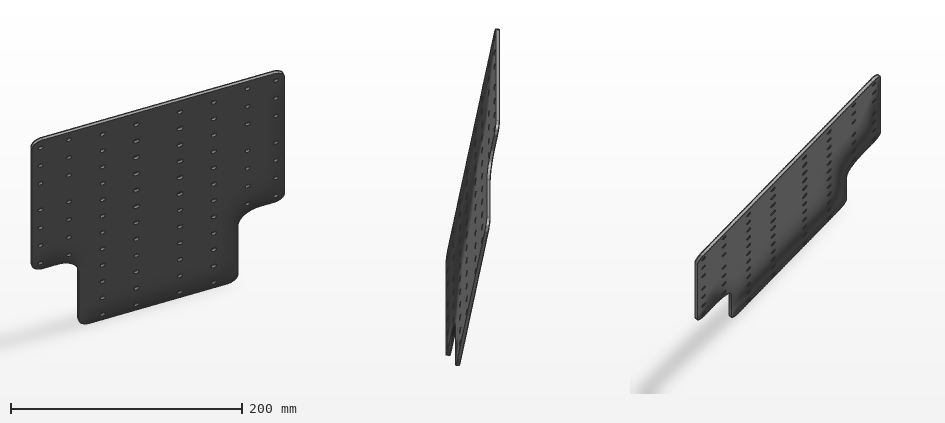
import cadquery as cq

thickness = 3.0
panel_width = 232.0
total_height = 288.4
tail_width = 146.0
tail_height = 100.0
corner_radius = 10.0
neck_radius = 20.0
selection_margin = 1.0

side_hole_diameter = 4.5
side_columns = (82.0, 108.0)
side_row_pitch = 26.0
side_top_margin = 10.7
side_group_gap = 1.5 * side_row_pitch
upper_group_rows = 3
lower_group_rows = 4

center_hole_diameter = 4.8
large_hole_diameter = 5.6
inner_column = 20.0
middle_column = 51.0
center_row_pitch = 24.0
center_row_count = 12
center_bottom_margin = 7.7
large_rows = range(6, 11)

top_z = total_height / 2
bottom_z = -total_height / 2
shoulder_z = bottom_z + tail_height


def block(width, low_z, high_z):
    """Full-thickness rectangular block centred on Y."""
    return (
        cq.Workplane("XY")
        .box(thickness, width, high_z - low_z)
        .translate((0, 0, (low_z + high_z) / 2))
    )


def make_plate():
    """T-shaped plate with rounded corners and large fillets at the neck."""
    panel = block(panel_width, shoulder_z, top_z).edges("|X").fillet(corner_radius)
    tail = block(tail_width, bottom_z, 0).faces("<Z").edges("|X").fillet(corner_radius)
    neck_edges = cq.selectors.BoxSelector(
        (-thickness, -tail_width / 2 - selection_margin, shoulder_z - selection_margin),
        (thickness, tail_width / 2 + selection_margin, shoulder_z + selection_margin),
    )
    return panel.union(tail).edges("|X").edges(neck_edges).fillet(neck_radius)


def mirrored(column, rows):
    """Hole centres at the given heights on both sides of the centre plane."""
    return [(side * column, z) for side in (-1, 1) for z in rows]


def drill(plate, points, diameter):
    """Through holes along X at the given (Y, Z) centres."""
    holes = (
        cq.Workplane("YZ")
        .pushPoints(points)
        .circle(diameter / 2)
        .extrude(thickness, both=True)
    )
    return plate.cut(holes)


def drill_side_holes(plate):
    first_upper = top_z - side_top_margin
    last_upper = first_upper - (upper_group_rows - 1) * side_row_pitch
    first_lower = last_upper - side_group_gap
    rows = [first_upper - i * side_row_pitch for i in range(upper_group_rows)]
    rows += [first_lower - i * side_row_pitch for i in range(lower_group_rows)]
    for column in side_columns:
        plate = drill(plate, mirrored(column, rows), side_hole_diameter)
    return plate


def drill_center_holes(plate):
    rows = [bottom_z + center_bottom_margin + i * center_row_pitch for i in range(center_row_count)]
    large = [rows[i] for i in large_rows]
    small = [z for z in rows if z not in large]
    plate = drill(plate, mirrored(middle_column, rows), center_hole_diameter)
    plate = drill(plate, mirrored(inner_column, small), center_hole_diameter)
    return drill(plate, mirrored(inner_column, large), large_hole_diameter)


result = drill_center_holes(drill_side_holes(make_plate()))